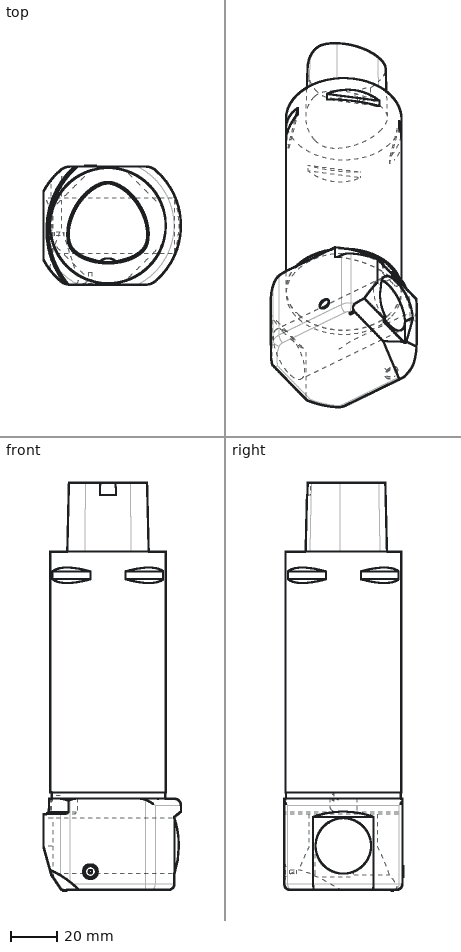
import cadquery as cq
import math

total_height = 176.0
head_bottom = 0.4
head_top = 39.8
neck_top = 42.5
shoulder_height = 146.3

shaft_radius = 25.0
neck_radius = 24.8
slot_count = 4
slot_height = 136.0
slot_floor_distance = 22.2
slot_floor_width = 3.3
slot_mouth_width = 6.7

shank_base_radius = 17.6
shank_top_radius = 16.9
lobe_amplitude = 1.27
lobe_count = 3
lobe_half_angle = 37.0
points_per_face = 9
notch_radius = 4.8
notch_depth = 5.3
notch_reach = 14.0

head_radius = 31.5
head_half_width = 25.5
head_corner_radius = 6.3
head_bottom_fillet = 2.6
head_top_fillet = 3.0
front_face_x = -27.8
back_face_x = 28.7
back_ramp_top = 34.1
back_ramp_bottom = 31.9

relief_floor = 33.0
relief_radius = 36.3
relief_center = (10.5, -2.0)
relief_ledge = 0.9
spot_face_x = -24.3
spot_face_half_width = 5.8
spot_face_corner_radius = 2.6

slope_top = 18.8
knee_x = -24.5
knee_height = 6.9
toe_x = -20.0
corner_cut_angle = 18.0
corner_cut_distance = 19.4
corner_cut_slope = 40.0

pin_diameter = 24.0
pin_height = 19.4
pin_face_x = -23.8
pin_dome_rise = 2.0
pocket_left = 4.4
pocket_right = -12.1
pocket_bottom = 6.0

bore_diameter = 1.5
side_nozzle_x = -7.5
side_nozzle_height = 8.3
side_nozzle_diameter = 6.3
side_cone_diameter = 4.8
side_nozzle_step = 0.5
side_cone_depth = 1.8
stud_protrusion = 0.4
front_nozzle_y = -3.5
front_nozzle_height = 40.3
front_nozzle_diameter = 3.3
front_cone_diameter = 2.5
front_nozzle_step = 0.4
front_cone_depth = 0.9
bore_depth = 5.3
nose_center = (-18.7, 21.1)
nose_length = 1.5
nose_width = 0.5

clear = 105.6


def lobed_point(mean_radius, angle):
    """Point of the constant-width lobed curve whose normal has the given angle; one lobe faces +Y."""
    reach = mean_radius - lobe_amplitude * math.sin(lobe_count * angle)
    slope = -lobe_amplitude * lobe_count * math.cos(lobe_count * angle)
    x = reach * math.cos(angle) - slope * math.sin(angle)
    y = reach * math.sin(angle) + slope * math.cos(angle)
    return cq.Vector(x, y, 0)


def lobed_wire(mean_radius, height):
    """Closed lobed outline made of one curve per lobe and one per flank."""
    breaks = []
    for lobe in range(lobe_count):
        lobe_angle = 90 + lobe * 360 / lobe_count
        breaks += [lobe_angle - lobe_half_angle, lobe_angle + lobe_half_angle]
    ends = breaks[1:] + [breaks[0] + 360]
    edges = []
    for start, end in zip(breaks, ends):
        step = (end - start) / (points_per_face - 1)
        angles = [math.radians(start + step * i) for i in range(points_per_face)]
        points = [lobed_point(mean_radius, angle) + cq.Vector(0, 0, height) for angle in angles]
        tangents = [cq.Vector(-math.sin(a), math.cos(a), 0) for a in (angles[0], angles[-1])]
        edges.append(cq.Edge.makeSpline(points, tangents=tangents))
    return cq.Wire.assembleEdges(edges)


def make_shank():
    base = lobed_wire(shank_base_radius, shoulder_height)
    top = lobed_wire(shank_top_radius, total_height)
    shank = cq.Workplane(cq.Solid.makeLoft([base, top], True))
    notch = (
        cq.Workplane("XY", origin=(0, -notch_reach - notch_radius, total_height - notch_depth))
        .circle(notch_radius)
        .extrude(notch_depth)
    )
    return shank.cut(notch)


def make_shaft():
    shaft_length = shoulder_height - neck_top
    shaft = cq.Workplane("XY", origin=(0, 0, neck_top)).circle(shaft_radius).extrude(shaft_length)
    depth = shaft_radius - slot_floor_distance
    slot = (
        cq.Workplane("XZ", origin=(0, 0, slot_height))
        .polyline([
            (slot_floor_distance, -slot_floor_width / 2),
            (slot_floor_distance + depth, -slot_mouth_width / 2),
            (slot_floor_distance + depth, slot_mouth_width / 2),
            (slot_floor_distance, slot_floor_width / 2),
        ])
        .close()
        .extrude(shaft_radius, both=True)
    )
    for i in range(slot_count):
        shaft = shaft.cut(slot.rotate((0, 0, 0), (0, 0, 1), (i + 0.5) * 360 / slot_count))
    return shaft


def make_neck():
    neck_length = neck_top - relief_floor
    return cq.Workplane("XY", origin=(0, 0, relief_floor)).circle(neck_radius).extrude(neck_length)


def make_head_block():
    """Round head with two flats, a back face under a ramp, and rounded edges."""
    height = head_top - head_bottom
    block = cq.Workplane("XY", origin=(0, 0, head_bottom)).circle(head_radius).extrude(height)
    block = block.intersect(
        cq.Workplane("XY", origin=(0, 0, head_bottom)).rect(clear, 2 * head_half_width).extrude(height)
    )
    block = block.edges("|Z").edges(">Y or <Y").fillet(head_corner_radius)
    rounded_top = (
        cq.Workplane("XY", origin=(0, 0, head_bottom))
        .circle(head_radius)
        .extrude(height)
        .faces(">Z")
        .edges()
        .fillet(head_top_fillet)
    )
    block = block.intersect(rounded_top)
    back_cut = (
        cq.Workplane("XZ")
        .polyline([
            (back_face_x, -clear),
            (back_face_x, back_ramp_bottom),
            (head_radius, back_ramp_top),
            (clear, back_ramp_top),
            (clear, -clear),
        ])
        .close()
        .extrude(clear, both=True)
    )
    block = block.cut(back_cut)
    return block.faces("<Z").edges().fillet(head_bottom_fillet)


def cut_front(head):
    """Trim the front face, the slope and chamfer under it, and the slanted corner."""
    front_cut = (
        cq.Workplane("XZ")
        .polyline([
            (front_face_x, clear),
            (front_face_x, slope_top),
            (knee_x, knee_height),
            (toe_x, head_bottom),
            (toe_x, -clear),
            (-clear, -clear),
            (-clear, clear),
        ])
        .close()
        .extrude(clear, both=True)
    )
    corner_cut = (
        cq.Workplane("XY")
        .box(clear, 2 * clear, clear, centered=(True, True, False))
        .rotate((0, 0, 0), (0, 1, 0), 180 + corner_cut_slope)
        .translate((-corner_cut_distance, 0, head_bottom))
        .rotate((0, 0, 0), (0, 0, 1), corner_cut_angle)
    )
    return head.cut(front_cut).cut(corner_cut)


def cut_relief(head):
    """Clear the top of the front side down to a ledge around an off-centre round wall."""
    kept = cq.Workplane("XY", origin=(*relief_center, relief_floor)).circle(relief_radius).extrude(head_top)
    foot = (
        cq.Workplane("XY", origin=(*relief_center, relief_floor))
        .circle(relief_radius + relief_ledge)
        .extrude(relief_ledge, taper=45)
    )
    block = cq.Workplane("XY", origin=(-clear / 2, 0, relief_floor)).rect(clear, 2 * clear).extrude(head_top)
    return head.cut(block.cut(kept).cut(foot))


def cut_spot_face(body):
    """Flat seat for the front nozzle, rounded at one lower corner."""
    seat_bottom = relief_floor + relief_ledge
    seat = (
        cq.Workplane("YZ", origin=(spot_face_x, 0, seat_bottom))
        .rect(2 * spot_face_half_width, neck_top - seat_bottom, centered=(True, False))
        .extrude(-clear)
    )
    seat = seat.edges("|X").edges("<Y").edges("<Z").fillet(spot_face_corner_radius)
    return body.cut(seat)


def nozzle_cutter(workplane, outer_diameter, step, cone_diameter, cone_depth):
    """Stepped mouth, cone and bore, all sunk along the negative normal of the workplane."""
    mouth = workplane.circle(outer_diameter / 2).extrude(-step)
    cone = (
        workplane.workplane(offset=-step)
        .circle(cone_diameter / 2)
        .workplane(offset=-cone_depth)
        .circle(bore_diameter / 2)
        .loft()
    )
    bore = workplane.circle(bore_diameter / 2).extrude(-bore_depth)
    return mouth.union(cone).union(bore)


def make_pin():
    """Cross pin with a flat front end and a domed back end."""
    radius = pin_diameter / 2
    dome_radius = (radius**2 + pin_dome_rise**2) / (2 * pin_dome_rise)
    dome_rise_midway = math.sqrt(dome_radius**2 - (radius / 2) ** 2) - dome_radius + pin_dome_rise
    return (
        cq.Workplane("XZ", origin=(0, 0, pin_height))
        .moveTo(pin_face_x, 0)
        .lineTo(back_face_x + pin_dome_rise, 0)
        .threePointArc((back_face_x + dome_rise_midway, radius / 2), (back_face_x, radius))
        .lineTo(pin_face_x, radius)
        .close()
        .revolve(360, (0, 0, 0), (1, 0, 0))
    )


def cut_pin_seat(body):
    """Through hole for the pin and the square-cornered pocket beside its front end."""
    hole = (
        cq.Workplane("YZ", origin=(0, 0, pin_height))
        .circle(pin_diameter / 2)
        .extrude(clear, both=True)
    )
    pocket = (
        cq.Workplane("YZ", origin=(pin_face_x, 0, 0))
        .moveTo(pocket_right, pocket_bottom)
        .lineTo(pocket_left, pocket_bottom)
        .lineTo(pocket_left, pin_height)
        .lineTo(pocket_right, pin_height)
        .close()
        .extrude(-clear)
    )
    return body.cut(hole).cut(pocket)


def make_housing():
    head = cut_relief(cut_front(make_head_block()))
    housing = cut_spot_face(head.union(make_neck())).union(make_shaft()).union(make_shank())
    housing = cut_pin_seat(housing)

    side_plane = cq.Workplane("XZ", origin=(side_nozzle_x, -head_half_width, side_nozzle_height))
    side_nozzle = nozzle_cutter(
        side_plane, side_nozzle_diameter, side_nozzle_step, side_cone_diameter, side_cone_depth
    )
    front_plane = cq.Workplane("ZY", origin=(spot_face_x, front_nozzle_y, front_nozzle_height))
    front_nozzle = nozzle_cutter(
        front_plane, front_nozzle_diameter, front_nozzle_step, front_cone_diameter, front_cone_depth
    )
    housing = housing.cut(side_nozzle).cut(front_nozzle)

    stud = (
        cq.Workplane("XZ", origin=(side_nozzle_x, head_half_width + stud_protrusion, side_nozzle_height))
        .circle(side_cone_diameter / 2)
        .extrude(2 * stud_protrusion)
    )
    nose = cq.Workplane("XY", origin=(*nose_center, 0)).rect(nose_length, nose_width).extrude(2 * head_bottom)
    return housing.union(stud).union(nose)


housing = make_housing()
pin = make_pin()
result = cq.Compound.makeCompound([housing.val(), pin.val()])